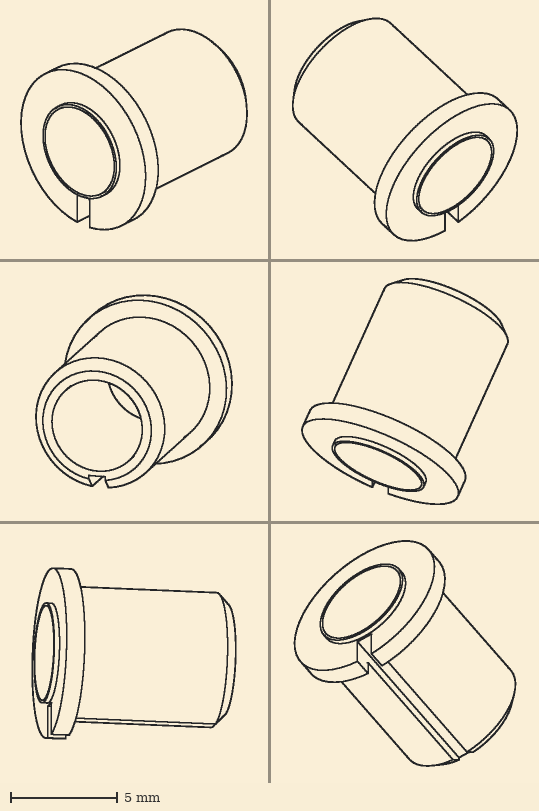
import cadquery as cq

bore_diameter = 4.45
lip_diameter = 4.7
body_diameter = 6.35
flange_diameter = 8.0

total_length = 8.64
lip_height = 0.25
flange_thickness = 0.87
end_chamfer = 0.5

slot_width = 0.8
slot_floor_radius = 2.47

flange_front = lip_height
flange_back = flange_front + flange_thickness


def cylinder(diameter, start, end):
    """Solid cylinder on the Y axis between two Y positions."""
    return (
        cq.Workplane("XZ", origin=(0, start, 0))
        .circle(diameter / 2)
        .extrude(start - end)
    )


def make_body():
    """Barrel with a chamfered free end."""
    barrel = cylinder(body_diameter, flange_front, total_length)
    return barrel.faces(">Y").chamfer(end_chamfer)


def make_slot():
    """Keyway on the -Z side, open at both ends of the bushing."""
    slot_depth = flange_diameter / 2 - slot_floor_radius
    slot = cq.Workplane("XY", origin=(0, 0, -flange_diameter / 2))
    return slot.box(slot_width, total_length, slot_depth, centered=(True, False, False))


flange = cylinder(flange_diameter, flange_front, flange_back)
lip = cylinder(lip_diameter, 0, flange_back)
bore = cylinder(bore_diameter, 0, total_length)

result = make_body().union(flange).union(lip).cut(bore).cut(make_slot())